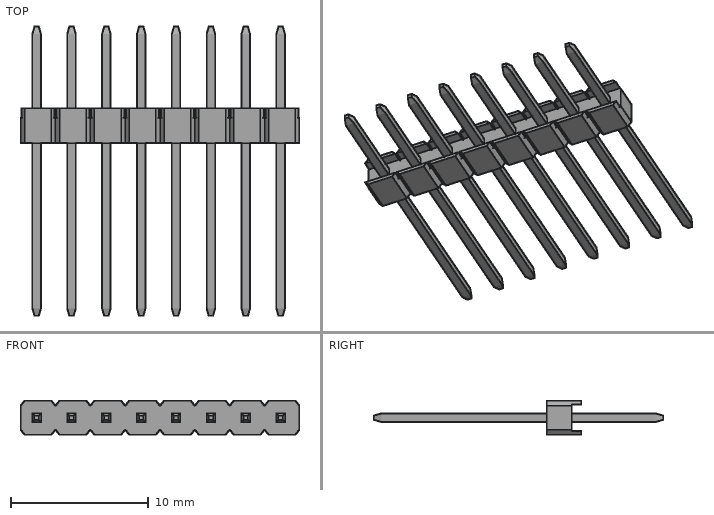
import cadquery as cq


pin_count = 8
pitch = 2.54
housing_length = pin_count * pitch
housing_height = 2.5
housing_depth = 2.54
bevel_width = 0.3
bevel_height = 0.37
channel_depth = 0.7
flange_thickness = 0.3

pin_size = 0.64
pin_offset_x = -0.1
pin_length = 21.1
pin_reach_back = 5.96
tip_length = 0.55
tip_size = pin_size / 2

housing_back_y = housing_depth / 2
pin_back_y = housing_back_y + pin_reach_back
pin_front_y = pin_back_y - pin_length


def cell_x(index):
    """Centre of a housing cell along X."""
    return (index - (pin_count - 1) / 2) * pitch


def xz_plane(y):
    """Plane at the given Y, with X and Z as its axes and its normal toward -Y."""
    return cq.Workplane("XZ", origin=(0, y, 0))


def make_housing():
    """Row of bevelled cells, which meet in V notches, with a channel along the +Y face."""
    half_width = pitch / 2
    half_height = housing_height / 2
    flat_x = half_width - bevel_width
    flat_z = half_height - bevel_height

    upper_edge = []
    for index in range(pin_count):
        x = cell_x(index)
        upper_edge += [
            (x - half_width, flat_z),
            (x - flat_x, half_height),
            (x + flat_x, half_height),
        ]
    upper_edge.append((housing_length / 2, flat_z))
    lower_edge = [(x, -z) for x, z in reversed(upper_edge)]

    body = xz_plane(housing_back_y).polyline(upper_edge + lower_edge).close().extrude(housing_depth)
    channel_height = housing_height - 2 * flange_thickness
    channel = xz_plane(housing_back_y).rect(housing_length, channel_height).extrude(channel_depth)
    return body.cut(channel)


def make_tip(shaft_end_y, direction):
    """Tapered square tip growing from the shaft end toward +Y (1) or -Y (-1)."""
    return (
        xz_plane(shaft_end_y)
        .rect(pin_size, pin_size)
        .workplane(offset=-direction * tip_length)
        .rect(tip_size, tip_size)
        .loft(ruled=True)
    )


def make_pin():
    """Square pin along Y with a tapered tip at both ends."""
    shaft_back_y = pin_back_y - tip_length
    shaft_front_y = pin_front_y + tip_length
    shaft = xz_plane(shaft_back_y).rect(pin_size, pin_size).extrude(shaft_back_y - shaft_front_y)
    return shaft.union(make_tip(shaft_back_y, 1)).union(make_tip(shaft_front_y, -1))


pin = make_pin()
result = make_housing()
for index in range(pin_count):
    result = result.union(pin.translate((cell_x(index) + pin_offset_x, 0, 0)))